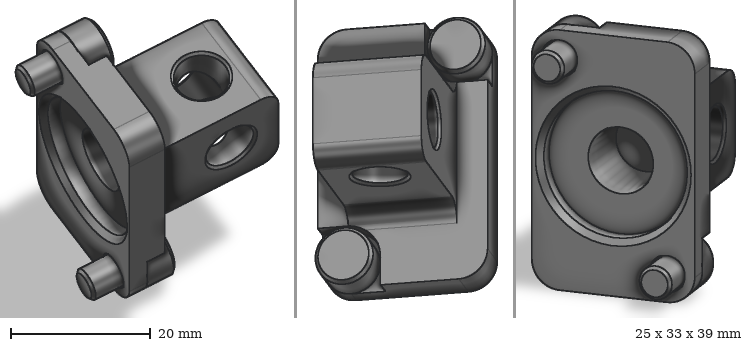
import cadquery as cq
import math


plate_height = 39.0
plate_width = 25.0
plate_thickness = 6.0

block_size = 16.0
block_length = 22.0
block_round = 3.0
cross_hole_diameter = 8.0
cross_hole_mouth_diameter = 8.8
cross_hole_setback = 8.0

recess_diameter = 22.0
recess_mouth_diameter = 23.85
recess_depth = 3.0
taper_mouth_diameter = 10.0
taper_end_diameter = 9.1
taper_depth = 10.0

head_diameter = 8.5
head_length = 4.9
head_chamfer = 0.5
shank_diameter = 5.0
shank_projection = 5.0
shank_chamfer = 0.45
clearance_diameter = 5.5
seat_radius = 5.0
seat_depth = 3.0
seat_gap = 0.08

corner_radius = head_diameter / 2
seat_y = plate_thickness - seat_depth
head_start_y = seat_y + seat_gap
head_end_y = head_start_y + head_length
block_end_y = plate_thickness + block_length
cross_hole_y = block_end_y - cross_hole_setback
screw_x = plate_width / 2 - corner_radius
screw_z = plate_height / 2 - corner_radius
screw_corners = [(-1, 1), (1, -1)]


def cylinder_y(diameter, start_y, end_y, x=0, z=0):
    """Cylinder along Y between two Y positions."""
    return (
        cq.Workplane("XZ", origin=(x, start_y, z))
        .circle(diameter / 2)
        .extrude(start_y - end_y)
    )


def make_plate():
    return (
        cq.Workplane("XZ")
        .rect(plate_width, plate_height)
        .extrude(-plate_thickness)
        .edges("|Y")
        .fillet(corner_radius)
    )


def make_block():
    """Block profile with rounded far edges and concave root rounds, extruded across X."""
    half = block_size / 2
    root = half + block_round
    tangent_y = plate_thickness + block_round
    arc_offset = block_round * (1 - math.sqrt(0.5))
    profile = (
        cq.Workplane("YZ", origin=(-half, 0, 0))
        .moveTo(plate_thickness, -root)
        .threePointArc((plate_thickness + arc_offset, -half - arc_offset), (tangent_y, -half))
        .lineTo(block_end_y - block_round, -half)
        .threePointArc((block_end_y - arc_offset, -half + arc_offset), (block_end_y, -half + block_round))
        .lineTo(block_end_y, half - block_round)
        .threePointArc((block_end_y - arc_offset, half - arc_offset), (block_end_y - block_round, half))
        .lineTo(tangent_y, half)
        .threePointArc((plate_thickness + arc_offset, half + arc_offset), (plate_thickness, root))
        .close()
    )
    return profile.extrude(block_size)


def make_cross_hole():
    """Z-axis hole cutter through the block, with a chamfer at each mouth."""
    half = block_size / 2
    hole_radius = cross_hole_diameter / 2
    mouth_radius = cross_hole_mouth_diameter / 2
    chamfer = mouth_radius - hole_radius
    return (
        cq.Workplane("XZ")
        .polyline([
            (0, -half),
            (mouth_radius, -half),
            (hole_radius, -half + chamfer),
            (hole_radius, half - chamfer),
            (mouth_radius, half),
            (0, half),
        ])
        .close()
        .revolve(360, (0, 0), (0, 1))
        .translate((0, cross_hole_y, 0))
    )


def make_front_bore():
    """Chamfered recess with a tapered blind hole in its floor."""
    recess_radius = recess_diameter / 2
    recess_mouth_radius = recess_mouth_diameter / 2
    recess_chamfer = recess_mouth_radius - recess_radius
    taper_end_y = recess_depth + taper_depth
    return (
        cq.Workplane("XY")
        .polyline([
            (0, 0),
            (recess_mouth_radius, 0),
            (recess_radius, recess_chamfer),
            (recess_radius, recess_depth),
            (taper_mouth_diameter / 2, recess_depth),
            (taper_end_diameter / 2, taper_end_y),
            (0, taper_end_y),
        ])
        .close()
        .revolve(360, (0, 0), (0, 1))
    )


def make_screw_seat(x_side, z_side):
    """Corner notch for a screw head, open to both plate edges, and the shank hole."""
    notch_size = corner_radius + seat_radius
    notch_length = head_end_y - seat_y
    notch = (
        cq.Workplane("XY")
        .box(notch_size, notch_length, notch_size)
        .translate((
            x_side * (plate_width - notch_size) / 2,
            seat_y + notch_length / 2,
            z_side * (plate_height - notch_size) / 2,
        ))
    )
    inner_x = "<X" if x_side > 0 else ">X"
    inner_z = "<Z" if z_side > 0 else ">Z"
    notch = notch.faces(inner_x).edges(inner_z).fillet(seat_radius)
    hole = cylinder_y(clearance_diameter, 0, seat_y, x_side * screw_x, z_side * screw_z)
    return notch.union(hole)


def make_bracket():
    cross_hole = make_cross_hole()
    side_hole = cross_hole.rotate((0, cross_hole_y, 0), (0, cross_hole_y + 0.4, 0), 90)
    bracket = make_plate().union(make_block())
    bracket = bracket.cut(cross_hole).cut(side_hole).cut(make_front_bore())
    for x_side, z_side in screw_corners:
        bracket = bracket.cut(make_screw_seat(x_side, z_side))
    return bracket


def make_screw(x_side, z_side):
    x = x_side * screw_x
    z = z_side * screw_z
    head = cylinder_y(head_diameter, head_start_y, head_end_y, x, z).faces(">Y").chamfer(head_chamfer)
    shank = cylinder_y(shank_diameter, -shank_projection, head_start_y, x, z)
    shank = shank.faces("<Y").chamfer(shank_chamfer)
    return head.union(shank)


bracket = make_bracket()
screws = [make_screw(x_side, z_side) for x_side, z_side in screw_corners]

result = cq.Compound.makeCompound([bracket.val(), *[screw.val() for screw in screws]])